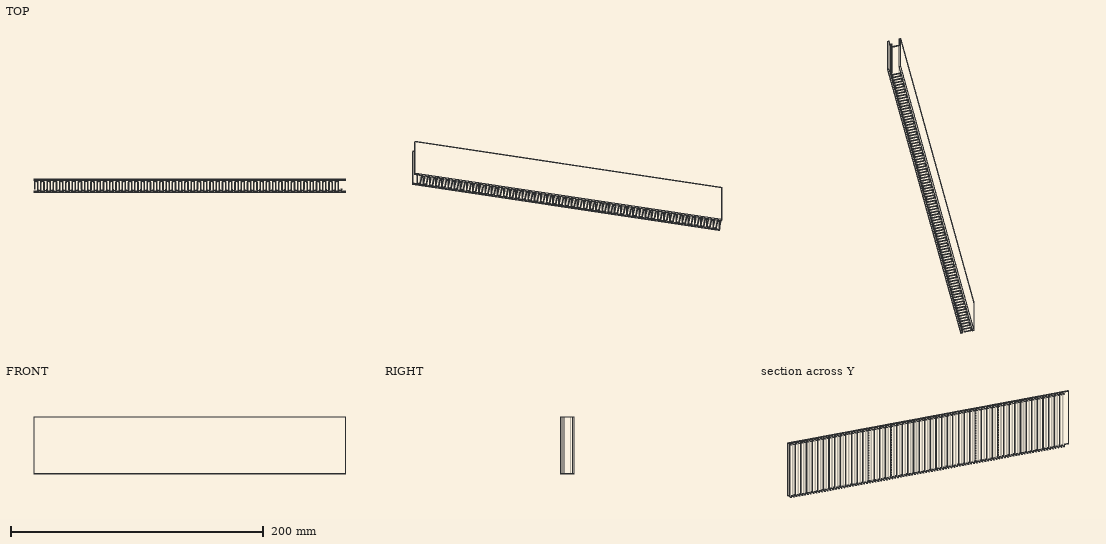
import cadquery as cq

plate_length = 247.03
height = 45.0
overall_depth = 10.8
plate_thickness = 1.27
fin_thickness = 0.5
fin_inset = 0.4
wall_spacing = 2.48
wall_count = 98

channel_depth = overall_depth - 2 * plate_thickness
half_thickness = fin_thickness / 2
mean_bend_radius = wall_spacing / 2
bend_center_y = channel_depth / 2 - mean_bend_radius - half_thickness
first_wall_x = fin_inset + half_thickness


def make_plate(side):
    """Flat cover plate on the +Y (side = 1) or -Y (side = -1) face of the fin."""
    center_y = side * (channel_depth + plate_thickness) / 2
    return (
        cq.Workplane("XY")
        .center(plate_length / 2, center_y)
        .rect(plate_length, plate_thickness)
        .extrude(height)
    )


def wall_direction(wall):
    """Y sign of the end where a wall turns into its bend; even walls run towards +Y."""
    return 1 if wall % 2 == 0 else -1


def wall_point(wall, face, y):
    """Point on a wall; face = 1 is the sheet face outside the +Y bends, -1 the face inside them."""
    wall_x = first_wall_x + wall * wall_spacing
    return (wall_x - face * wall_direction(wall) * half_thickness, y)


def bend_crest(wall, face):
    """Middle of the half-round bend that follows a wall, on one face of the sheet."""
    direction = wall_direction(wall)
    bend_x = first_wall_x + wall * wall_spacing + mean_bend_radius
    radius = mean_bend_radius + face * direction * half_thickness
    return (bend_x, direction * (bend_center_y + radius))


def make_fin():
    """Sheet folded into parallel walls, joined by half-round bends at alternate sides."""
    outline = cq.Workplane("XY").moveTo(*wall_point(0, 1, -bend_center_y))
    for wall in range(wall_count):
        bend_y = wall_direction(wall) * bend_center_y
        outline = outline.lineTo(*wall_point(wall, 1, bend_y))
        outline = outline.threePointArc(bend_crest(wall, 1), wall_point(wall + 1, 1, bend_y))

    last_bend_y = wall_direction(wall_count - 1) * bend_center_y
    outline = outline.lineTo(*wall_point(wall_count, -1, last_bend_y))
    for wall in reversed(range(wall_count)):
        bend_y = wall_direction(wall) * bend_center_y
        outline = outline.threePointArc(bend_crest(wall, -1), wall_point(wall, -1, bend_y))
        outline = outline.lineTo(*wall_point(wall, -1, -bend_y))
    return outline.close().extrude(height)


fin = make_fin()
front_plate = make_plate(-1)
back_plate = make_plate(1)
result = cq.Compound.makeCompound([fin.val(), front_plate.val(), back_plate.val()])